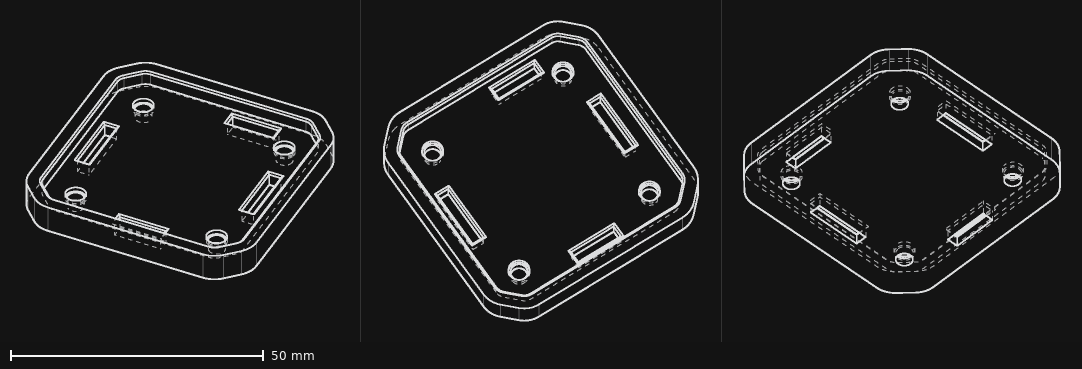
import cadquery as cq

SIDE = 49.9
HEIGHT = 6.0
WALL = 3.05
POCKET_DEPTH = 3.0
FLOOR_THICKNESS = HEIGHT - POCKET_DEPTH

CORNER_CUT = 5.75
CORNER_BLEND = 5.3

EDGE_CHAMFER = 0.4

HOLE_DIAMETER = 3.4
COUNTERBORE_DIAMETER = 4.2
COUNTERBORE_DEPTH = 1.0
HOLE_OFFSET = 15.45

SLOT_WIDTH = 2.55
SIDE_SLOT_LENGTH = 12.55
END_SLOT_LENGTH = 10.1
LEFT_SLOT_CENTER = (-18.6, 0.75)
RIGHT_SLOT_CENTER = (17.45, 0.75)
FRONT_SLOT_CENTER = (0.4, -19.05)
BACK_SLOT_CENTER = (6.85, 19.05)


def make_block():
    """Square block with cut and blended vertical corners."""
    return (
        cq.Workplane("XY")
        .rect(SIDE, SIDE)
        .extrude(HEIGHT)
        .edges("|Z")
        .chamfer(CORNER_CUT)
        .edges("|Z")
        .fillet(CORNER_BLEND)
    )


def cut_pocket(block):
    """Sink a pocket that leaves a wall of even thickness around it."""
    return block.faces(">Z").wires().toPending().offset2D(-WALL).cutBlind(-POCKET_DEPTH)


def chamfer_openings(tray, face):
    """Chamfer every opening in a flat face of the tray."""
    edges = [edge for wire in face.innerWires() for edge in wire.Edges()]
    return tray.newObject(edges).chamfer(EDGE_CHAMFER)


def pocket_floor(tray):
    """Upward-facing floor of the pocket."""
    return tray.faces("|Z").faces(cq.selectors.CenterNthSelector(cq.Vector(0, 0, 1), 1)).val()


def cut_slot(tray, center, size_x, size_y):
    """Cut one rectangular slot through the floor."""
    slot = cq.Workplane("XY").center(*center).rect(size_x, size_y).extrude(FLOOR_THICKNESS)
    return tray.cut(slot)


def cut_screw_holes(tray):
    """Cut the four counterbored holes through the floor."""
    return (
        tray.copyWorkplane(cq.Workplane("XY", origin=(0, 0, FLOOR_THICKNESS)))
        .rect(2 * HOLE_OFFSET, 2 * HOLE_OFFSET, forConstruction=True)
        .vertices()
        .cboreHole(HOLE_DIAMETER, COUNTERBORE_DIAMETER, COUNTERBORE_DEPTH)
    )


tray = cut_pocket(make_block())
tray = chamfer_openings(tray, tray.faces(">Z").val())

for slot_center in (LEFT_SLOT_CENTER, RIGHT_SLOT_CENTER):
    tray = cut_slot(tray, slot_center, SLOT_WIDTH, SIDE_SLOT_LENGTH)
for slot_center in (FRONT_SLOT_CENTER, BACK_SLOT_CENTER):
    tray = cut_slot(tray, slot_center, END_SLOT_LENGTH, SLOT_WIDTH)
tray = chamfer_openings(tray, pocket_floor(tray))

result = cut_screw_holes(tray)